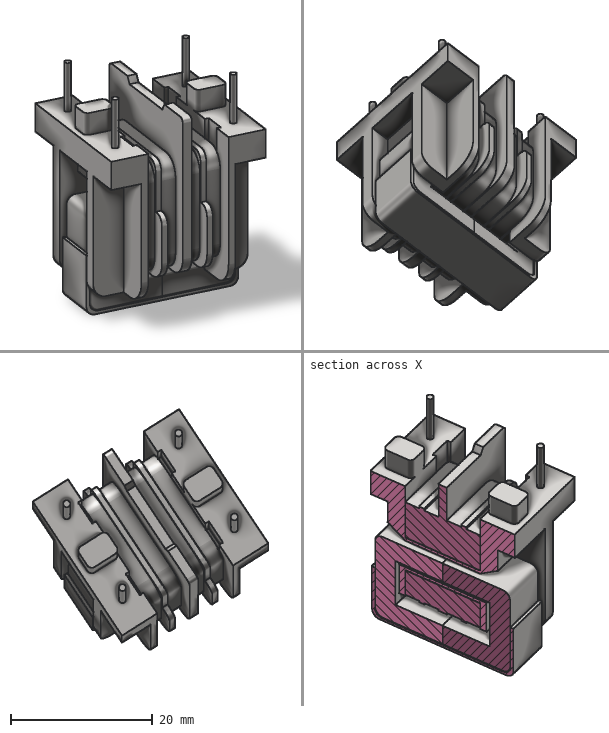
import cadquery as cq

SIDES = (-1, 1)

CLIP_THICKNESS = 0.52
CLIP_TOP_Z = 9.37
CORE_WIDTH = 7.33
CORE_LENGTH = 23.25
CORE_TOP_Z = 15.77
CORE_LIMB = 3.63
CORE_CORNER_RADIUS = 1.4
CORE_EDGE_RADIUS = 0.35

HEAD_WIDTH = 23.25
HEAD_OUTER_Y = 12.35
HEAD_INNER_Y = 6.4
HEAD_TOP_Z = 27.05
HEAD_BOTTOM_Z = 22.65
FLANGE_OUTER_Y = 7.5
FLANGE_BOTTOM_Z = 3.75
FLANGE_CORNER_RADIUS = 3.6
LEG_OUTER_X = 6.15
LEG_CORNER_RADIUS = 2.1
LINTEL_OUTER_Y = 9.45
LINTEL_BOTTOM_Z = 18.8
SILL_BOTTOM_Z = 6.5

BORE_WIDTH = 8.3
BORE_FLOOR_Z = 11.95
BORE_CEILING_Z = 16.8
TUBE_WALL = 0.7

PEDESTAL_WIDTH = 3.6
PEDESTAL_OUTER_Y = 11.35
PEDESTAL_TOP_Z = 30.43
PEDESTAL_CORNER_RADIUS = 0.75
WIRE_SLOT_X = 6.2
WIRE_SLOT_WIDTH = 3.65
WIRE_SLOT_DEPTH = 0.62
PIN_X = 7.25
PIN_Y = 9.45
PIN_DIAMETER = 1.0
PIN_TOP_Z = 34.58

WINDING_WIDTH = 18.12
WINDING_BOTTOM_Z = 6.7
WINDING_TOP_Z = 24.07
WINDING_CORNER_RADIUS = 2.87

PARTITION_WIDTH = 22.55
PARTITION_BOTTOM_Z = 6.45
PARTITION_CORNER_RADIUS = 2.97
RING_THICKNESS = 0.9
RING_Y = 3.6
RING_UPPER_WIDTH = 18.6
RING_TOP_Z = 24.4
RING_EAR_TOP_Z = 16.7
RING_CORNER_RADIUS = 1.52
DIVIDER_THICKNESS = 1.45
DIVIDER_TOP_Z = 31.23
DIVIDER_TOP_RADIUS = 0.75
DIVIDER_DIP_Z = 30.2
DIVIDER_DIP_TOP_WIDTH = 11.35
DIVIDER_DIP_BOTTOM_WIDTH = 10.03


def block(width, y_range, z_range):
    """Box centred on X = 0 between two Y and two Z values."""
    y_low, y_high = sorted(y_range)
    z_low, z_high = z_range
    base = cq.Workplane("XY", origin=(0, y_low, z_low))
    return base.box(width, y_high - y_low, z_high - z_low, centered=(True, False, False))


def make_core_half(side):
    """C-shaped half of the core, which meets the other half on Y = 0."""
    bottom_z = CLIP_THICKNESS
    core = block(CORE_WIDTH, (-CORE_LENGTH / 2, CORE_LENGTH / 2), (bottom_z, CORE_TOP_Z))
    core = core.edges("|X").fillet(CORE_CORNER_RADIUS)
    inner_y = CORE_LENGTH / 2 - CORE_LIMB
    core = core.cut(block(CORE_WIDTH, (-inner_y, inner_y), (bottom_z + CORE_LIMB, CORE_TOP_Z - CORE_LIMB)))
    core = core.faces("<X or >X").edges().fillet(CORE_EDGE_RADIUS)
    return core.intersect(block(CORE_WIDTH, (0, side * CORE_LENGTH / 2), (bottom_z, CORE_TOP_Z)))


def make_clip():
    """U-shaped strip wrapped around the lower limb and the ends of the core."""
    outer_y = CORE_LENGTH / 2 + CLIP_THICKNESS
    clip = block(CORE_WIDTH, (-outer_y, outer_y), (0, CLIP_TOP_Z))
    clip = clip.edges("|X and <Z").fillet(CORE_CORNER_RADIUS)
    core_space = block(CORE_WIDTH, (-CORE_LENGTH / 2, CORE_LENGTH / 2), (CLIP_THICKNESS, CLIP_TOP_Z))
    return clip.cut(core_space.edges("|X and <Z").fillet(CORE_CORNER_RADIUS))


def make_legs(side):
    """Pair of legs under a head, one on each side of the core."""
    y_range = (side * HEAD_INNER_Y, side * HEAD_OUTER_Y)
    z_range = (FLANGE_BOTTOM_Z, HEAD_BOTTOM_Z)
    legs = block(2 * LEG_OUTER_X, y_range, z_range)
    outer_end = ">Y" if side > 0 else "<Y"
    legs = legs.faces(outer_end).edges("<Z").fillet(LEG_CORNER_RADIUS)
    return legs.cut(block(BORE_WIDTH, y_range, z_range))


def make_lintel(side):
    """Wall between the legs above the bore, with an underside that slopes down to the bore."""
    outline = [
        (side * HEAD_INNER_Y, HEAD_BOTTOM_Z),
        (side * LINTEL_OUTER_Y, HEAD_BOTTOM_Z),
        (side * LINTEL_OUTER_Y, LINTEL_BOTTOM_Z),
        (side * HEAD_INNER_Y, BORE_CEILING_Z),
    ]
    return cq.Workplane("YZ").polyline(outline).close().extrude(BORE_WIDTH / 2, both=True)


def make_head(side):
    """End of the bobbin: terminal block, flange, legs, pedestal and two pins."""
    inner_y = side * HEAD_INNER_Y
    flange_y_range = (inner_y, side * FLANGE_OUTER_Y)
    flange_z_range = (FLANGE_BOTTOM_Z, HEAD_BOTTOM_Z)
    flange = block(HEAD_WIDTH, flange_y_range, flange_z_range)
    flange = flange.edges("|Y and <Z").fillet(FLANGE_CORNER_RADIUS)
    flange = flange.cut(block(BORE_WIDTH, flange_y_range, flange_z_range))
    sill = block(BORE_WIDTH, flange_y_range, (SILL_BOTTOM_Z, BORE_FLOOR_Z))
    pedestal = block(PEDESTAL_WIDTH, (inner_y, side * PEDESTAL_OUTER_Y), (HEAD_TOP_Z, PEDESTAL_TOP_Z))
    pedestal = pedestal.edges("|Z").fillet(PEDESTAL_CORNER_RADIUS)
    pins = (
        cq.Workplane("XY", origin=(0, side * PIN_Y, HEAD_TOP_Z))
        .pushPoints([(x_side * PIN_X, 0) for x_side in SIDES])
        .circle(PIN_DIAMETER / 2)
        .extrude(PIN_TOP_Z - HEAD_TOP_Z)
    )
    head = block(HEAD_WIDTH, (inner_y, side * HEAD_OUTER_Y), (HEAD_BOTTOM_Z, HEAD_TOP_Z))
    for piece in (flange, make_legs(side), make_lintel(side), sill, pedestal, pins):
        head = head.union(piece)
    slot_y_range = (inner_y, side * (HEAD_INNER_Y + WIRE_SLOT_DEPTH))
    wire_slot = block(WIRE_SLOT_WIDTH, slot_y_range, (HEAD_BOTTOM_Z, HEAD_TOP_Z))
    for x_side in SIDES:
        head = head.cut(wire_slot.translate((x_side * WIRE_SLOT_X, 0, 0)))
    return head


def make_tube_envelope():
    """Outside of the bobbin tube, as a solid block."""
    z_range = (BORE_FLOOR_Z - TUBE_WALL, BORE_CEILING_Z + TUBE_WALL)
    return block(BORE_WIDTH + 2 * TUBE_WALL, (-HEAD_INNER_Y, HEAD_INNER_Y), z_range)


def make_bobbin():
    """Two heads joined by the tube."""
    bore = block(BORE_WIDTH, (-HEAD_INNER_Y, HEAD_INNER_Y), (BORE_FLOOR_Z, BORE_CEILING_Z))
    bobbin = make_tube_envelope().cut(bore)
    for side in SIDES:
        bobbin = bobbin.union(make_head(side))
    return bobbin


def make_ring():
    """Thin partition, widened by an ear on each side of its lower half."""
    y_range = (-RING_THICKNESS / 2, RING_THICKNESS / 2)
    upper = block(RING_UPPER_WIDTH, y_range, (RING_EAR_TOP_Z - RING_CORNER_RADIUS, RING_TOP_Z))
    upper = upper.edges("|Y and >Z").fillet(RING_CORNER_RADIUS)
    lower = block(PARTITION_WIDTH, y_range, (PARTITION_BOTTOM_Z, RING_EAR_TOP_Z))
    lower = lower.edges("|Y and >Z").fillet(RING_CORNER_RADIUS)
    lower = lower.edges("|Y and <Z").fillet(PARTITION_CORNER_RADIUS)
    return upper.union(lower)


def make_divider():
    """Thick middle partition with a wide, slope-sided dip in its top edge."""
    y_range = (-DIVIDER_THICKNESS / 2, DIVIDER_THICKNESS / 2)
    divider = block(PARTITION_WIDTH, y_range, (PARTITION_BOTTOM_Z, DIVIDER_TOP_Z))
    divider = divider.edges("|Y and >Z").fillet(DIVIDER_TOP_RADIUS)
    divider = divider.edges("|Y and <Z").fillet(PARTITION_CORNER_RADIUS)
    dip_outline = [
        (-DIVIDER_DIP_TOP_WIDTH / 2, DIVIDER_TOP_Z),
        (-DIVIDER_DIP_BOTTOM_WIDTH / 2, DIVIDER_DIP_Z),
        (DIVIDER_DIP_BOTTOM_WIDTH / 2, DIVIDER_DIP_Z),
        (DIVIDER_DIP_TOP_WIDTH / 2, DIVIDER_TOP_Z),
    ]
    dip = cq.Workplane("XZ").polyline(dip_outline).close().extrude(DIVIDER_THICKNESS, both=True)
    return divider.cut(dip)


def make_winding():
    """Sleeve around the bobbin tube, with a divider in the middle and a ring on each side."""
    winding = block(WINDING_WIDTH, (-HEAD_INNER_Y, HEAD_INNER_Y), (WINDING_BOTTOM_Z, WINDING_TOP_Z))
    winding = winding.edges("|Y").fillet(WINDING_CORNER_RADIUS)
    winding = winding.union(make_divider())
    for side in SIDES:
        winding = winding.union(make_ring().translate((0, side * RING_Y, 0)))
    return winding.cut(make_tube_envelope())


bobbin = make_bobbin()
winding = make_winding()
core_halves = [make_core_half(side) for side in SIDES]
clip = make_clip()

result = cq.Compound.makeCompound(
    [bobbin.val(), winding.val(), *[half.val() for half in core_halves], clip.val()]
)